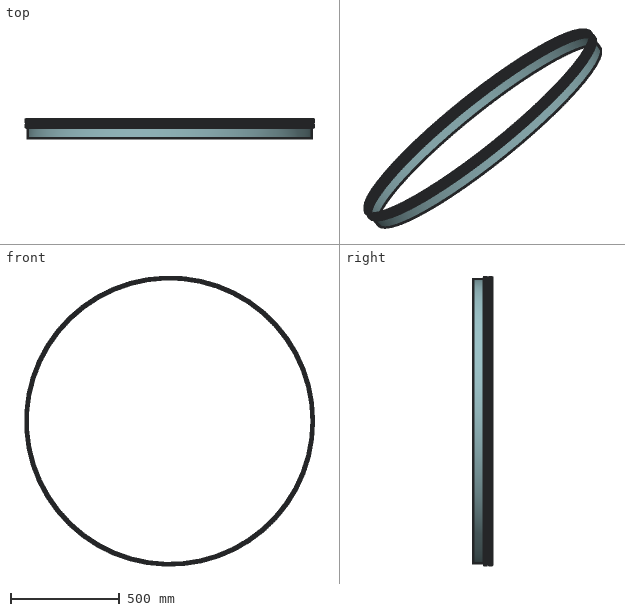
import math

import cadquery as cq

outer_diameter = 1326.0
ring_length = 89.0
band_diameter = 1306.0
valley_diameter = 1318.0
wall = 2.0

ridge_flat = 8.0
ridge_slope = 4.0
groove_flat = 8.0
lip_slope = 5.0
foot_slope = 4.0

half_length = ring_length / 2
outer_radius = outer_diameter / 2
band_radius = band_diameter / 2
valley_radius = valley_diameter / 2


def outer_profile():
    """(radius, y) points of the outer skin, from the plain edge to the lip."""
    radii_and_steps = [
        (outer_radius, lip_slope),
        (outer_radius, ridge_flat),
        (valley_radius, ridge_slope),
        (valley_radius, groove_flat),
        (outer_radius, ridge_slope),
        (outer_radius, ridge_flat),
        (band_radius, foot_slope),
    ]
    y = half_length
    points = [(valley_radius, y)]
    for radius, step in radii_and_steps:
        y -= step
        points.append((radius, y))
    points.append((band_radius, -half_length))
    return points[::-1]


def inner_profile(outer):
    """Inner skin, one wall thickness inside the outer one measured square to each face."""
    angles = [math.atan2(r1 - r0, y1 - y0) for (r0, y0), (r1, y1) in zip(outer, outer[1:])]
    points = [(outer[0][0] - wall, outer[0][1])]
    for (radius, y), before, after in zip(outer[1:], angles, angles[1:]):
        bisector = (before + after) / 2
        reach = wall / math.cos((after - before) / 2)
        points.append((radius - reach * math.cos(bisector), y + reach * math.sin(bisector)))
    points.append((outer[-1][0] - wall / math.cos(angles[-1]), half_length))
    return points


outer_points = outer_profile()
inner_points = inner_profile(outer_points)

result = (
    cq.Workplane("XY")
    .polyline(outer_points + inner_points[::-1])
    .close()
    .revolve(360, (0, 0, 0), (0, 1, 0))
)